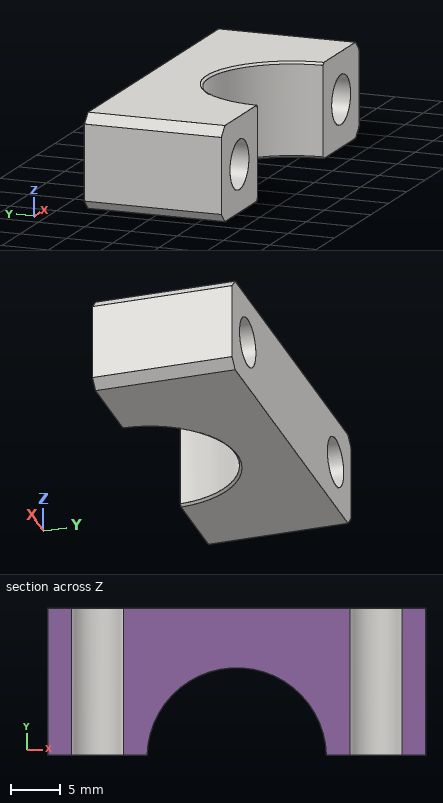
import cadquery as cq

length = 38.0
height = 10.0
half_depth = 15.0
clamp_gap = 0.2
end_chamfer = 1.0

bore_diameter = 18.0
bore_chamfer = 0.25

hole_diameter = 5.2
hole_spacing = 28.0

depth = half_depth - clamp_gap


def make_block():
    """Block with its four end edges along Y chamfered."""
    block = cq.Workplane("XY").box(length, depth, height)
    block = block.edges("|Y").chamfer(end_chamfer)
    return block.translate((0, clamp_gap + depth / 2, 0))


def make_bore_cutter():
    """Cylinder on the Z axis that flares at both ends to chamfer the bore rims."""
    radius = bore_diameter / 2
    flared_radius = radius + bore_chamfer
    top = height / 2
    straight_top = top - bore_chamfer
    return (
        cq.Workplane("XZ")
        .moveTo(0, -top)
        .lineTo(flared_radius, -top)
        .lineTo(radius, -straight_top)
        .lineTo(radius, straight_top)
        .lineTo(flared_radius, top)
        .lineTo(0, top)
        .close()
        .revolve(360, (0, 0, 0), (0, 1, 0))
    )


def make_screw_holes():
    """Pair of through-hole cutters along Y, one on each side of the bore."""
    return (
        cq.Workplane("XZ")
        .pushPoints([(-hole_spacing / 2, 0), (hole_spacing / 2, 0)])
        .circle(hole_diameter / 2)
        .extrude(-half_depth)
    )


result = make_block().cut(make_bore_cutter()).cut(make_screw_holes())